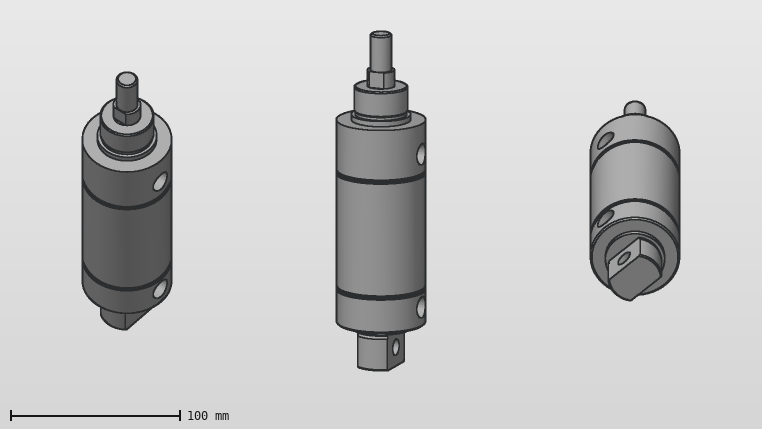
import cadquery as cq

TOTAL_HEIGHT = 201.7
NECK_LOW_BOTTOM = 19.4
NECK_LOW_TOP = 21.2
PILOT_LOW_BOTTOM = 22.4
CAP_BOTTOM = 25.5
CAP_TOP = 47.2
HEAD_BOTTOM = 117.8
HEAD_TOP = 149.2
PILOT_HIGH_TOP = 152.5
NECK_HIGH_TOP = 154.3
COLLAR_BOTTOM = 155.0
COLLAR_TOP = 169.8
STUD_BOTTOM = 179.5

BODY_RADIUS = 26.5
PILOT_RADIUS = 17.5
NOSE_RADIUS = 16.0
NECK_RADIUS = 15.3
BODY_CHAMFER = 1.0
NOSE_CHAMFER = 0.8
GROOVE_WIDTH = 1.2
GROOVE_DEPTH = 0.6

TANG_THICKNESS = 19.2
PIN_HOLE_DIAMETER = 9.7
PIN_HOLE_HEIGHT = 11.5

PORT_DIAMETER = 12.7
PORT_DEPTH = 10.0
PORT_HEIGHTS = (37.5, 130.7)

ROD_RADIUS = 8.0
STUD_RADIUS = 6.3
STUD_CHAMFER = 1.0
FLATS_WIDTH = 13.1
ROD_BOTTOM = HEAD_BOTTOM


def groove_points(middle):
    """Profile of two adjoining V-grooves around the barrel, from bottom to top."""
    root_radius = BODY_RADIUS - GROOVE_DEPTH
    return [
        (BODY_RADIUS, middle - GROOVE_WIDTH),
        (root_radius, middle - GROOVE_WIDTH / 2),
        (BODY_RADIUS, middle),
        (root_radius, middle + GROOVE_WIDTH / 2),
        (BODY_RADIUS, middle + GROOVE_WIDTH),
    ]


def revolve_profile(points):
    """Turn a closed radius-height profile around Z."""
    return cq.Workplane("XZ").polyline(points).close().revolve(360, (0, 0, 0), (0, 1, 0))


def turned_cylinder():
    return revolve_profile([
        (0, 0),
        (NOSE_RADIUS - NOSE_CHAMFER, 0),
        (NOSE_RADIUS, NOSE_CHAMFER),
        (NOSE_RADIUS, NECK_LOW_BOTTOM),
        (NECK_RADIUS, NECK_LOW_TOP),
        (NECK_RADIUS, PILOT_LOW_BOTTOM),
        (PILOT_RADIUS, PILOT_LOW_BOTTOM),
        (PILOT_RADIUS, CAP_BOTTOM),
        (BODY_RADIUS - BODY_CHAMFER, CAP_BOTTOM),
        (BODY_RADIUS, CAP_BOTTOM + BODY_CHAMFER),
        *groove_points(CAP_TOP),
        *groove_points(HEAD_BOTTOM),
        (BODY_RADIUS, HEAD_TOP),
        (PILOT_RADIUS, HEAD_TOP),
        (PILOT_RADIUS, PILOT_HIGH_TOP),
        (NECK_RADIUS, PILOT_HIGH_TOP),
        (NECK_RADIUS, NECK_HIGH_TOP),
        (NOSE_RADIUS, COLLAR_BOTTOM),
        (NOSE_RADIUS, COLLAR_TOP - NOSE_CHAMFER),
        (NOSE_RADIUS - NOSE_CHAMFER, COLLAR_TOP),
        (0, COLLAR_TOP),
    ])


def tang_cutter():
    """Everything beside the two flat faces of the tang."""
    span = 2 * BODY_RADIUS
    around = cq.Workplane("XY").rect(span, span).extrude(PILOT_LOW_BOTTOM)
    tang = cq.Workplane("XY").rect(TANG_THICKNESS, span).extrude(PILOT_LOW_BOTTOM)
    return around.cut(tang)


def pin_hole():
    return (
        cq.Workplane("YZ", origin=(-BODY_RADIUS, 0, PIN_HOLE_HEIGHT))
        .circle(PIN_HOLE_DIAMETER / 2)
        .extrude(2 * BODY_RADIUS)
    )


def port(height):
    """Blind round port entering from the +X side."""
    return (
        cq.Workplane("YZ", origin=(BODY_RADIUS - PORT_DEPTH, 0, height))
        .circle(PORT_DIAMETER / 2)
        .extrude(PORT_DEPTH)
    )


def rod_bore():
    return (
        cq.Workplane("XY", origin=(0, 0, ROD_BOTTOM))
        .circle(ROD_RADIUS)
        .extrude(COLLAR_TOP - ROD_BOTTOM)
    )


def make_cylinder():
    cylinder = turned_cylinder().cut(tang_cutter()).cut(pin_hole()).cut(rod_bore())
    for height in PORT_HEIGHTS:
        cylinder = cylinder.cut(port(height))
    return cylinder


def make_rod():
    """Rod with a pair of wrench flats below its threaded stud."""
    rod = revolve_profile([
        (0, ROD_BOTTOM),
        (ROD_RADIUS, ROD_BOTTOM),
        (ROD_RADIUS, STUD_BOTTOM),
        (STUD_RADIUS, STUD_BOTTOM),
        (STUD_RADIUS, TOTAL_HEIGHT - STUD_CHAMFER),
        (STUD_RADIUS - STUD_CHAMFER, TOTAL_HEIGHT),
        (0, TOTAL_HEIGHT),
    ])
    flats_height = STUD_BOTTOM - COLLAR_TOP
    flats_place = cq.Workplane("XY", origin=(0, 0, COLLAR_TOP))
    around = flats_place.rect(4 * ROD_RADIUS, 4 * ROD_RADIUS).extrude(flats_height)
    between = flats_place.rect(4 * ROD_RADIUS, FLATS_WIDTH).extrude(flats_height)
    return rod.cut(around.cut(between))


cylinder = make_cylinder()
rod = make_rod()
result = cq.Compound.makeCompound([cylinder.val(), rod.val()])